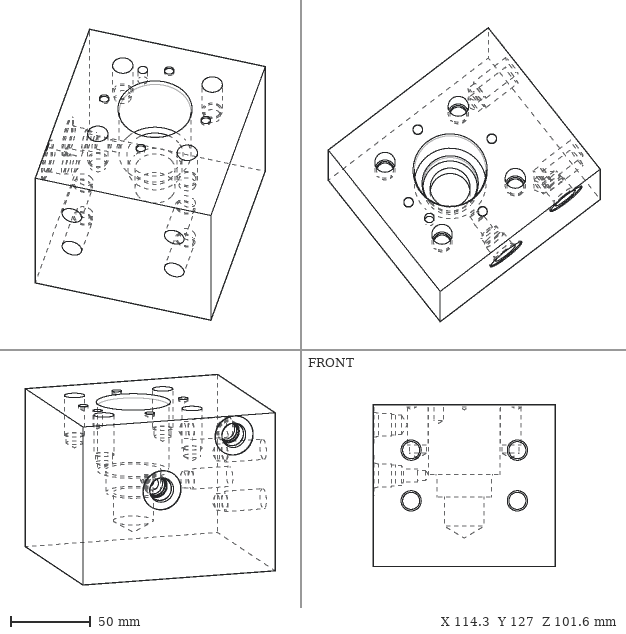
import cadquery as cq
import math

WIDTH = 114.3
DEPTH = 127.0
HEIGHT = 101.6

CAVITY_X = WIDTH / 2
CAVITY_Y = 74.7
CAVITY_MOUTH = 46.5
CAVITY_MOUTH_DEPTH = 2.5
CAVITY_UPPER = 45.0
CAVITY_UPPER_DEPTH = 44.0
CAVITY_LEDGE = 35.3
CAVITY_LEDGE_DEPTH = 46.5
CAVITY_LOWER = 34.0
CAVITY_LOWER_DEPTH = 58.0
CAVITY_DRILL = 25.0
CAVITY_DRILL_DEPTH = 76.2

SMALL_DIAMETER = 6.0
CONTROL_RADIUS = 33.0
CONTROL_DEPTH = 1.5
PIN_OFFSET_X = -16.0
PIN_OFFSET_Y = 29.0
PIN_DEPTH = 10.0

THREAD_DIAMETER = 12.7
THREAD_DEPTH = 25.4
TAP_DRILL = 10.7
TAP_DRILL_DEPTH = 30.5
COVER_SPACING = 58.2
FLANGE_SPACING_X = 66.5
FLANGE_SPACING_Z = 31.8
FLANGE_Z = 57.2

SPOT_DIAMETER = 25.0
SPOT_DEPTH = 0.8
PORT_MOUTH = 15.6
PORT_MOUTH_INNER = 14.5
PORT_MOUTH_DEPTH = 3.3
PORT_THREAD = 14.2
PORT_THREAD_DEPTH = 11.4
PORT_RELIEF = 13.0
PORT_RELIEF_DEPTH = 14.0
PORT_DRILL = 12.3
PORT_DRILL_DEPTH = 17.8
PILOT_MOUTH = 7.9
PILOT_MOUTH_DEPTH = 28.0
PILOT_DRILL = 6.4
PILOT_DRILL_DEPTH = 33.0
PILOT_PORT_Z = FLANGE_Z
UPPER_PORT_Y = 27.0
UPPER_PORT_Z = HEIGHT - 12.7

DRILL_POINT_ANGLE = 118.0


def point_length(diameter):
    """Height of a drill point that tapers from the given diameter to nothing."""
    return diameter / 2 / math.tan(math.radians(DRILL_POINT_ANGLE / 2))


def drill(steps):
    """Stepped round cutter going down from the origin and ending in a drill point.

    Each step is (top diameter, bottom diameter, depth of its bottom below the mouth).
    """
    points = [(0, 0)]
    top = 0
    for top_diameter, bottom_diameter, bottom in steps:
        for point in [(top_diameter / 2, -top), (bottom_diameter / 2, -bottom)]:
            if point != points[-1]:
                points.append(point)
        top = bottom
    last_diameter = steps[-1][1]
    points.append((0, -top - point_length(last_diameter)))
    profile = cq.Workplane("XZ").polyline(points).close()
    return profile.revolve(360, (0, 0), (0, 1))


def drill_from_top(steps, x, y):
    return drill(steps).translate((x, y, HEIGHT))


def drill_from_front(steps, x, z):
    return drill(steps).rotate((0, 0, 0), (1, 0, 0), 90).translate((x, 0, z))


def drill_from_side(steps, y, z):
    return drill(steps).rotate((0, 0, 0), (0, 1, 0), -90).translate((0, y, z))


block = cq.Workplane("XY").box(WIDTH, DEPTH, HEIGHT, centered=False)

cavity_steps = [
    (CAVITY_MOUTH, CAVITY_UPPER, CAVITY_MOUTH_DEPTH),
    (CAVITY_UPPER, CAVITY_UPPER, CAVITY_UPPER_DEPTH),
    (CAVITY_LEDGE, CAVITY_LOWER, CAVITY_LEDGE_DEPTH),
    (CAVITY_LOWER, CAVITY_LOWER, CAVITY_LOWER_DEPTH),
    (CAVITY_DRILL, CAVITY_DRILL, CAVITY_DRILL_DEPTH),
]
block = block.cut(drill_from_top(cavity_steps, CAVITY_X, CAVITY_Y))

control_steps = [(SMALL_DIAMETER, SMALL_DIAMETER, CONTROL_DEPTH)]
for toward_x, toward_y in [(1, 0), (0, 1), (-1, 0), (0, -1)]:
    control_x = CAVITY_X + toward_x * CONTROL_RADIUS
    control_y = CAVITY_Y + toward_y * CONTROL_RADIUS
    block = block.cut(drill_from_top(control_steps, control_x, control_y))

pin_steps = [(SMALL_DIAMETER, SMALL_DIAMETER, PIN_DEPTH)]
block = block.cut(drill_from_top(pin_steps, CAVITY_X + PIN_OFFSET_X, CAVITY_Y + PIN_OFFSET_Y))

bolt_steps = [
    (THREAD_DIAMETER, THREAD_DIAMETER, THREAD_DEPTH),
    (TAP_DRILL, TAP_DRILL, TAP_DRILL_DEPTH),
]
for side_x in (-0.5, 0.5):
    for side_yz in (-0.5, 0.5):
        cover_x = CAVITY_X + side_x * COVER_SPACING
        cover_y = CAVITY_Y + side_yz * COVER_SPACING
        block = block.cut(drill_from_top(bolt_steps, cover_x, cover_y))
        flange_x = CAVITY_X + side_x * FLANGE_SPACING_X
        flange_z = FLANGE_Z + side_yz * FLANGE_SPACING_Z
        block = block.cut(drill_from_front(bolt_steps, flange_x, flange_z))

port_steps = [
    (SPOT_DIAMETER, SPOT_DIAMETER, SPOT_DEPTH),
    (PORT_MOUTH, PORT_MOUTH_INNER, PORT_MOUTH_DEPTH),
    (PORT_THREAD, PORT_THREAD, PORT_THREAD_DEPTH),
    (PORT_RELIEF, PORT_RELIEF, PORT_RELIEF_DEPTH),
    (PORT_DRILL, PORT_DRILL, PORT_DRILL_DEPTH),
]
block = block.cut(drill_from_side(port_steps, UPPER_PORT_Y, UPPER_PORT_Z))

seat_depth = PORT_DRILL_DEPTH + point_length(PORT_DRILL) - point_length(PILOT_MOUTH)
pilot_steps = [
    (PORT_DRILL, PILOT_MOUTH, seat_depth),
    (PILOT_MOUTH, PILOT_MOUTH, PILOT_MOUTH_DEPTH),
    (PILOT_DRILL, PILOT_DRILL, PILOT_DRILL_DEPTH),
]
block = block.cut(drill_from_side(port_steps + pilot_steps, CAVITY_Y, PILOT_PORT_Z))

result = block